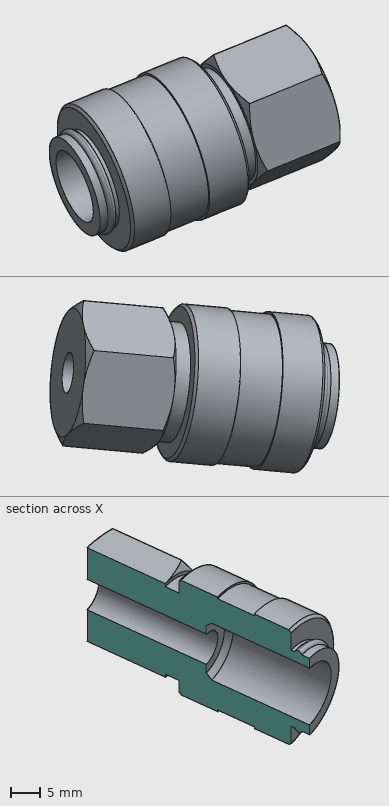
import cadquery as cq
import math

length = 45.5

sleeve_diameter = 27.0
sleeve_start = 3.75
sleeve_end = 26.75
sleeve_chamfer = 0.5
groove_diameter = 26.2
groove_start = 11.3
groove_end = 18.8

tube_diameter = 18.0
ring_outer_diameter = 19.2
ring_wire_radius = 0.77
ring_position = 2.28

neck_diameter = 20.6
hex_start = 29.5
hex_across_flats = 22.0
hex_across_corners = hex_across_flats / math.cos(math.radians(30))
hex_chamfer_angle = 30.0

bore_diameter = 13.2
bore_depth = 20.0
seat_diameter = 10.95
seat_depth = 1.1
passage_diameter = 7.0


def cylinder(diameter, start, end):
    """Cylinder along +Y between two positions."""
    plane = cq.Workplane("XZ", origin=(0, start, 0))
    return plane.circle(diameter / 2).extrude(start - end)


def make_sleeve():
    sleeve = cylinder(sleeve_diameter, sleeve_start, sleeve_end)
    sleeve = sleeve.faces("<Y or >Y").chamfer(sleeve_chamfer)
    groove = cylinder(sleeve_diameter, groove_start, groove_end)
    groove = groove.cut(cylinder(groove_diameter, groove_start, groove_end))
    return sleeve.cut(groove)


def make_ring():
    wire_center = ring_outer_diameter / 2 - ring_wire_radius
    return (
        cq.Workplane("XY")
        .center(wire_center, ring_position)
        .circle(ring_wire_radius)
        .revolve(360, (-wire_center, 0, 0), (-wire_center, 1, 0))
    )


def make_hexagon():
    """Hexagon with corners on X and conically chamfered ends."""
    prism = (
        cq.Workplane("XZ", origin=(0, hex_start, 0))
        .polygon(6, hex_across_corners)
        .extrude(hex_start - length)
    )
    face_radius = hex_across_flats / 2
    corner_radius = hex_across_corners / 2
    chamfer_height = (corner_radius - face_radius) * math.tan(math.radians(hex_chamfer_angle))
    chamfer_envelope = (
        cq.Workplane("XY")
        .moveTo(0, hex_start)
        .lineTo(face_radius, hex_start)
        .lineTo(corner_radius, hex_start + chamfer_height)
        .lineTo(corner_radius, length - chamfer_height)
        .lineTo(face_radius, length)
        .lineTo(0, length)
        .close()
        .revolve(360, (0, 0, 0), (0, 1, 0))
    )
    return prism.intersect(chamfer_envelope)


def make_bore():
    """Front bore with a conical seat at its floor, then the through passage."""
    seat_end = bore_depth + seat_depth
    return (
        cq.Workplane("XY")
        .lineTo(bore_diameter / 2, 0)
        .lineTo(bore_diameter / 2, bore_depth)
        .lineTo(seat_diameter / 2, seat_end)
        .lineTo(passage_diameter / 2, seat_end)
        .lineTo(passage_diameter / 2, length)
        .lineTo(0, length)
        .close()
        .revolve(360, (0, 0, 0), (0, 1, 0))
    )


body = cylinder(tube_diameter, 0, sleeve_start)
body = body.union(make_ring())
body = body.union(make_sleeve())
body = body.union(cylinder(neck_diameter, sleeve_end, hex_start))
body = body.union(make_hexagon())
result = body.cut(make_bore())